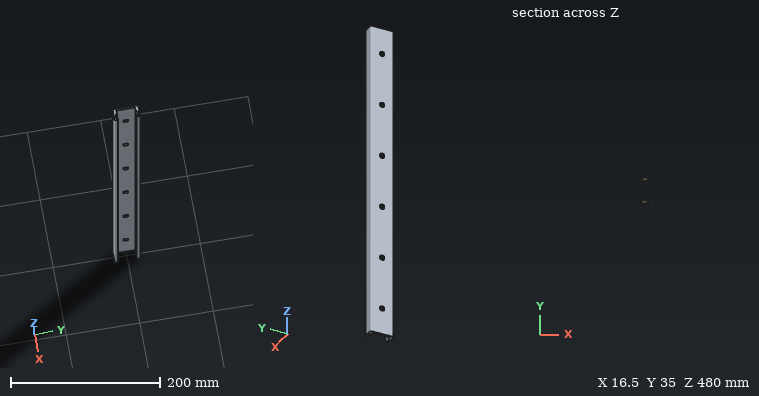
import cadquery as cq

length = 480.0
width = 35.0
depth = 16.5

web_thickness = 3.0
flange_thickness = 5.0
corner_radius = 1.5

groove_width = 6.5
groove_depth = 2.5
groove_offset = 11.0

hole_diameter = 6.5
hole_count = 6
hole_pitch = length / hole_count

back_x = -depth / 2
flange_face_y = width / 2 - flange_thickness


def make_channel():
    """C section along Z, open towards +X, with rounded outer corners."""
    body = cq.Workplane("XY").box(depth, width, length)
    body = body.edges("|Z").fillet(corner_radius)
    cavity = (
        cq.Workplane("XY")
        .box(depth, 2 * flange_face_y, length)
        .translate((web_thickness, 0, 0))
    )
    return body.cut(cavity)


def make_groove(side):
    """Round-bottomed bar that cuts the groove in the flange on the given Y side (+1 or -1)."""
    centre_x = back_x + groove_offset
    face_y = side * flange_face_y
    return (
        cq.Workplane("XY", origin=(0, 0, -length / 2))
        .moveTo(centre_x - groove_width / 2, face_y)
        .threePointArc(
            (centre_x, face_y + side * groove_depth),
            (centre_x + groove_width / 2, face_y),
        )
        .close()
        .extrude(length)
    )


def make_holes():
    """Evenly spaced pins along Z that cut the web holes."""
    return (
        cq.Workplane("YZ", origin=(back_x, 0, 0))
        .rarray(5, hole_pitch, 1, hole_count)
        .circle(hole_diameter / 2)
        .extrude(depth)
    )


result = make_channel().cut(make_holes())
for side in (1, -1):
    result = result.cut(make_groove(side))